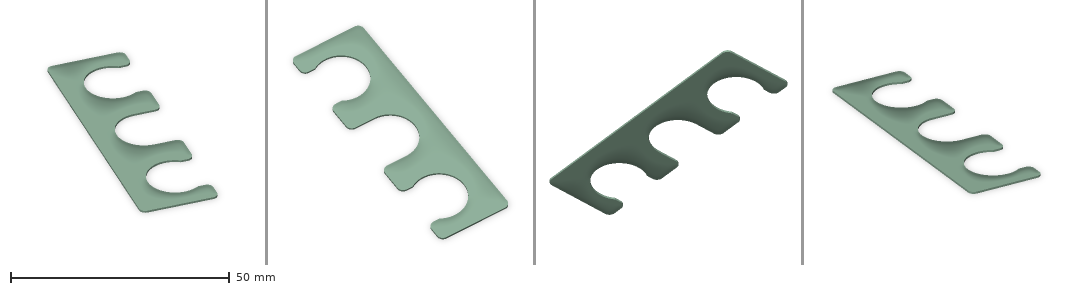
import cadquery as cq

length = 63.5
width = 19.05
thickness = 0.5
corner_radius = 1.5

seat_pitch = 20.65
seat_radius = 6.65
seat_center_y = 12.3
outer_mouth_width = 11.3
middle_mouth_width = 2 * seat_radius


def seat_cutter(center_x, mouth_width):
    """Round seat joined to a straight mouth that reaches the back edge."""
    mouth_depth = width - seat_center_y
    mouth = (
        cq.Workplane("XY")
        .center(center_x, seat_center_y + mouth_depth / 2)
        .rect(mouth_width, mouth_depth)
        .extrude(thickness)
    )
    seat = (
        cq.Workplane("XY")
        .center(center_x, seat_center_y)
        .circle(seat_radius)
        .extrude(thickness)
    )
    return seat.union(mouth)


plate = cq.Workplane("XY").rect(length, width).extrude(thickness)
plate = plate.translate((0, width / 2, 0))

for center_x, mouth_width in (
    (-seat_pitch, outer_mouth_width),
    (0, middle_mouth_width),
    (seat_pitch, outer_mouth_width),
):
    plate = plate.cut(seat_cutter(center_x, mouth_width))

back_corners = plate.faces(">Y").edges("|Z")
front_corners = plate.faces("<Y").edges("|Z")
result = back_corners.add(front_corners).fillet(corner_radius)